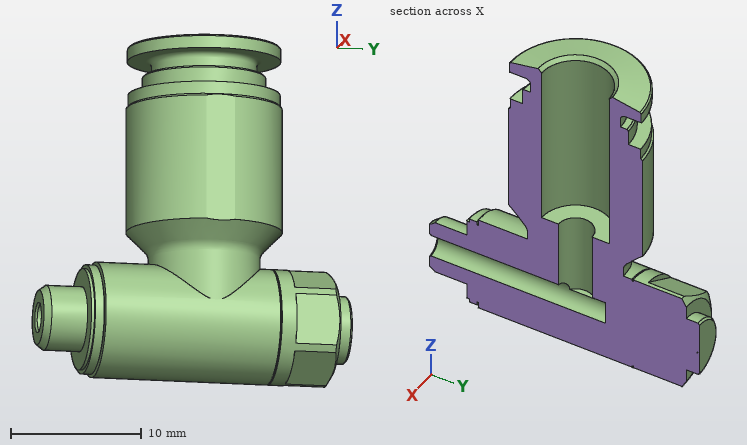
import cadquery as cq
import math


barrel_radius = 8.9 / 2
barrel_front = -8.68
collar_front = 5.15
seam_gap = 0.1
seam_radius = 8.6 / 2
washer_radius = 8.4 / 2
washer_front = -9.47
washer_lip_radius = 7.8 / 2
washer_lip_front = -9.7

spigot_radius = 5.0 / 2
spigot_tip_radius = 4.2 / 2
spigot_front = -13.05
spigot_chamfer_length = 0.53
spigot_bore_radius = 2.0 / 2
spigot_bore_chamfer = 0.15
spigot_bore_end = 2.65

hex_across_flats = 8.0
hex_front = 6.32
hex_rear = 9.92
hex_chamfer_length = 0.4
hex_face_radius = 7.5 / 2
stub_radius = 5.2 / 2
stub_rear = 11.1
stub_chamfer = 0.15

neck_radius = 8.6 / 2
neck_top = 5.03
neck_fillet = 1.0
body_radius = 6.0
body_top = 16.93
body_chamfer = 0.15
body_across_flats = 11.8
cone_angle = math.radians(45)
cone_small_radius = neck_radius + neck_fillet * (1 - math.cos(cone_angle))
cone_bottom = neck_top + neck_fillet * math.sin(cone_angle)
body_bottom = cone_bottom + (body_radius - cone_small_radius) / math.tan(cone_angle)
ring_radius = 11.7 / 2
ring_top = 17.88
guide_radius = 9.5 / 2
guide_top = 19.33
guide_chamfer = 0.13

button_neck_radius = 8.1 / 2
button_bottom = 20.5
button_fillet = 0.4
button_radius = 11.8 / 2
button_edge_chamfer = 0.13
button_edge_top = 21.55
button_top = 26.45 - barrel_radius

tube_bore_radius = 6.0 / 2
tube_bore_chamfer = 0.32
tube_bore_floor = body_bottom
port_radius = 3.0 / 2


def make_barrel():
    """Turned body from the front spigot to the rear stub, including a round blank for the hexagon."""
    profile = (
        cq.Workplane("XY")
        .moveTo(0, spigot_front)
        .lineTo(spigot_tip_radius, spigot_front)
        .lineTo(spigot_radius, spigot_front + spigot_chamfer_length)
        .lineTo(spigot_radius, washer_lip_front)
        .lineTo(washer_lip_radius, washer_lip_front)
        .lineTo(washer_lip_radius, washer_front)
        .lineTo(washer_radius, washer_front)
        .lineTo(washer_radius, barrel_front - seam_gap)
        .lineTo(washer_lip_radius, barrel_front - seam_gap)
        .lineTo(washer_lip_radius, barrel_front)
        .lineTo(barrel_radius, barrel_front)
        .lineTo(barrel_radius, collar_front - seam_gap)
        .lineTo(seam_radius, collar_front - seam_gap)
        .lineTo(seam_radius, collar_front)
        .lineTo(barrel_radius, collar_front)
        .lineTo(barrel_radius, hex_rear - hex_chamfer_length)
        .lineTo(hex_face_radius, hex_rear)
        .lineTo(stub_radius, hex_rear)
        .lineTo(stub_radius, stub_rear - stub_chamfer)
        .lineTo(stub_radius - stub_chamfer, stub_rear)
        .lineTo(0, stub_rear)
        .close()
    )
    return profile.revolve(360, (0, 0, 0), (0, 1, 0))


def cut_hexagon(barrel):
    """Mill six flats into the head, with corners pointing up and down."""
    flat_distance = hex_across_flats / 2
    head_length = hex_rear - hex_front
    cutter = cq.Workplane("XY").box(
        barrel_radius, head_length, 2 * barrel_radius, centered=(False, False, True)
    ).translate((flat_distance, hex_front, 0))
    for index in range(6):
        barrel = barrel.cut(cutter.rotate((0, 0, 0), (0, 1, 0), 60 * index))
    return barrel


def make_socket():
    """Turned upright socket with its release button."""
    profile = (
        cq.Workplane("XZ")
        .lineTo(neck_radius, 0)
        .lineTo(neck_radius, neck_top)
        .radiusArc((cone_small_radius, cone_bottom), neck_fillet)
        .lineTo(body_radius, body_bottom)
        .lineTo(body_radius, body_top - body_chamfer)
        .lineTo(ring_radius, body_top)
        .lineTo(ring_radius, ring_top)
        .lineTo(guide_radius, ring_top)
        .lineTo(guide_radius, guide_top - guide_chamfer)
        .lineTo(guide_radius - guide_chamfer, guide_top)
        .lineTo(button_neck_radius, guide_top)
        .lineTo(button_neck_radius, button_bottom - button_fillet)
        .radiusArc((button_neck_radius + button_fillet, button_bottom), button_fillet)
        .lineTo(button_radius, button_bottom)
        .lineTo(button_radius, button_edge_top - button_edge_chamfer)
        .lineTo(button_radius - button_edge_chamfer, button_edge_top)
        .lineTo(tube_bore_radius + tube_bore_chamfer, button_top)
        .lineTo(0, button_top)
        .close()
    )
    socket = profile.revolve(360, (0, 0, 0), (0, 1, 0))
    between_flats = cq.Workplane("XY").box(
        body_across_flats, 2 * body_radius, button_top, centered=(True, True, False)
    )
    return socket.intersect(between_flats)


def make_tube_bore():
    """Stepped bore down to the barrel axis, chamfered at the mouth."""
    return (
        cq.Workplane("XZ")
        .lineTo(port_radius, 0)
        .lineTo(port_radius, tube_bore_floor)
        .lineTo(tube_bore_radius, tube_bore_floor)
        .lineTo(tube_bore_radius, button_top - tube_bore_chamfer)
        .lineTo(tube_bore_radius + tube_bore_chamfer, button_top)
        .lineTo(0, button_top)
        .close()
        .revolve(360, (0, 0, 0), (0, 1, 0))
    )


def make_spigot_bore():
    """Blind bore through the spigot, running under the socket port."""
    return (
        cq.Workplane("XY")
        .moveTo(0, spigot_front)
        .lineTo(spigot_bore_radius + spigot_bore_chamfer, spigot_front)
        .lineTo(spigot_bore_radius, spigot_front + spigot_bore_chamfer)
        .lineTo(spigot_bore_radius, spigot_bore_end)
        .lineTo(0, spigot_bore_end)
        .close()
        .revolve(360, (0, 0, 0), (0, 1, 0))
    )


outer = cut_hexagon(make_barrel()).union(make_socket())
result = outer.cut(make_tube_bore()).cut(make_spigot_bore())